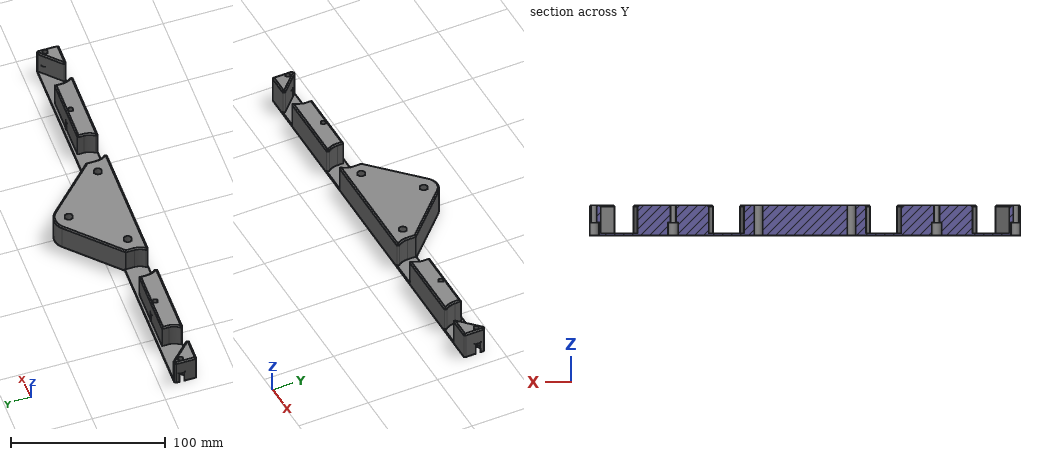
import cadquery as cq
import math

length = 278.0
bar_depth = 15.0
height = 19.7
floor_thickness = 1.7
edge_chamfer = 1.0
corner_radius = 1.0

apex_radius = 10.0
apex_hole_y = 40.0
mount_hole_diameter = 5.3
mount_hole_x = 30.0

gap_radius = 11.5
gap_y = 8.5
gap_flare = gap_radius - math.sqrt(gap_radius**2 - gap_y**2)
centre_half_width = 39.5

side_x = 85.0
side_half_width = 23.0
side_depth = 13.0
screw_y = 10.0
screw_wall = 2.8
screw_diameter = 3.3
screw_head_diameter = 6.5
screw_head_depth = 8.3
end_x = length / 2 - screw_wall
post_diagonal_wall = 3.3


def flared_front(half_width, back_y):
    """Start an outline at the back left and run it around the flared front."""
    arc_angle = math.asin(gap_y / gap_radius) / 2
    mid_x = half_width + gap_radius * (1 - math.cos(arc_angle))
    mid_y = gap_y - gap_radius * math.sin(arc_angle)
    front_x = half_width + gap_flare
    return (
        cq.Workplane("XY")
        .moveTo(-half_width, back_y)
        .lineTo(-half_width, gap_y)
        .threePointArc((-mid_x, mid_y), (-front_x, 0))
        .lineTo(front_x, 0)
        .threePointArc((mid_x, mid_y), (half_width, gap_y))
        .lineTo(half_width, back_y)
    )


def finish_block(outline):
    """Raise a closed outline, then round its front corners and chamfer its top rim."""
    block = outline.close().extrude(height)
    block = block.edges("|Z and <Y").fillet(corner_radius)
    return block.faces(">Z").edges().chamfer(edge_chamfer)


def centre_block():
    tangent = apex_radius * math.sin(math.radians(45))
    tangent_y = apex_hole_y + tangent
    shoulder_y = tangent_y + tangent - centre_half_width
    outline = (
        flared_front(centre_half_width, shoulder_y)
        .lineTo(tangent, tangent_y)
        .threePointArc((0, apex_hole_y + apex_radius), (-tangent, tangent_y))
    )
    return finish_block(outline)


def side_block():
    return finish_block(flared_front(side_half_width, side_depth))


def end_post():
    """Right-hand post: a triangle whose long side passes close to the screw."""
    diagonal_offset = end_x - screw_y - post_diagonal_wall * math.sqrt(2)
    outline = (
        cq.Workplane("XY")
        .moveTo(diagonal_offset, 0)
        .lineTo(length / 2, 0)
        .lineTo(length / 2, bar_depth - edge_chamfer)
        .lineTo(length / 2 - edge_chamfer, bar_depth)
        .lineTo(diagonal_offset + bar_depth, bar_depth)
    )
    return finish_block(outline)


def floor_plate():
    plate = cq.Workplane("XY").box(length, bar_depth, floor_thickness, centered=(True, False, False))
    plate = plate.edges("|Z and >Y").chamfer(edge_chamfer)
    return plate.edges("|Z and <Y").fillet(corner_radius)


def mirrored(block):
    return block.union(block.mirror("YZ"))


body = floor_plate().union(centre_block())
body = body.union(mirrored(side_block().translate((side_x, 0, 0))))
body = body.union(mirrored(end_post()))

mount_points = [(-mount_hole_x, screw_y), (mount_hole_x, screw_y), (0, apex_hole_y)]
body = body.cut(cq.Workplane("XY").pushPoints(mount_points).circle(mount_hole_diameter / 2).extrude(height))

screw_points = [(x, screw_y) for x in (-end_x, -side_x, side_x, end_x)]
screws = cq.Workplane("XY").pushPoints(screw_points)
body = body.cut(screws.circle(screw_diameter / 2).extrude(height))
body = body.cut(screws.circle(screw_head_diameter / 2).extrude(screw_head_depth))

result = body